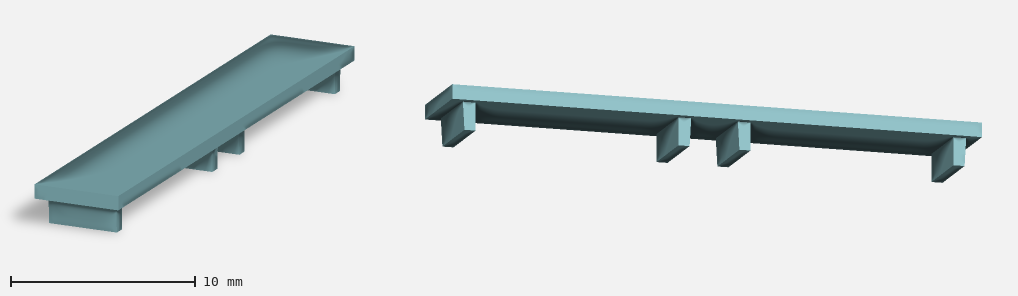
import cadquery as cq

plate_width = 5.0
plate_length = 30.0
plate_thickness = 0.8
total_height = 2.37

rib_width = 4.05
rib_root = 0.72
rib_tip = 0.63
rib_height = total_height - plate_thickness

outer_rib_upright = 13.53
inner_rib_upright = 2.05


def make_rib(upright_y, draft_side):
    """Rib across the plate whose drafted face lies on the draft_side (+1 or -1) in Y."""
    profile = [
        (upright_y, 0),
        (upright_y + draft_side * rib_root, 0),
        (upright_y + draft_side * rib_tip, -rib_height),
        (upright_y, -rib_height),
    ]
    return cq.Workplane("YZ").polyline(profile).close().extrude(rib_width / 2, both=True)


result = cq.Workplane("XY").box(
    plate_width, plate_length, plate_thickness, centered=(True, True, False)
)

for side in (-1, 1):
    result = result.union(make_rib(side * outer_rib_upright, side))
    result = result.union(make_rib(side * inner_rib_upright, -side))